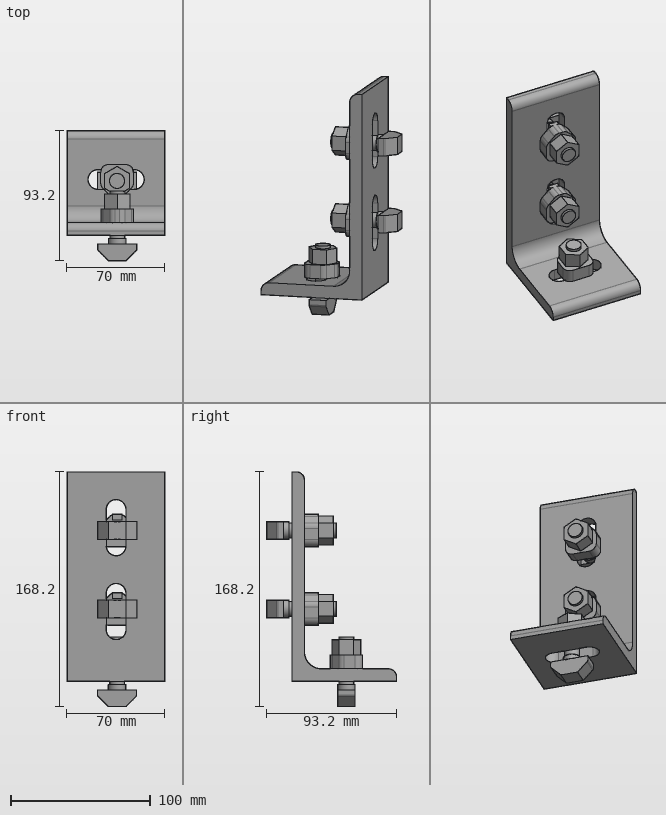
import cadquery as cq
import math


bracket_width = 70.0
tall_leg = 150.0
short_leg = 75.0
leg_thickness = 9.0
inner_corner_radius = 12.0
toe_radius = 6.0

slot_length = 40.0
slot_width = 14.0
wall_slot_heights = [50.0, 110.0]
base_slot_y = 40.0

wall_bolt_x = 0.8
wall_bolt_heights = [51.8, 108.0]
base_bolt_x = 0.7
base_bolt_y = 39.0

shank_diameter = 10.8
collar_diameter = 12.6
collar_start = 2.2
head_start = 6.0
head_end = 18.2
head_length = 28.0
head_width = 12.6
head_tip_length = 12.6
head_chamfer = (head_length - head_tip_length) / 2
head_edge_radius = 1.5

plate_side = 23.4
plate_thickness = 10.0
plate_chamfer = 7.9
plate_corner_radius = 5.4
tab_width = 7.0
tab_height = 4.2
tab_depth = 3.0
nut_across_flats = 18.0
nut_thickness = 10.8
shank_protrusion = 2.0


def make_angle():
    """L-section with a rounded inner corner and rounded toes, running along X."""
    profile = (
        cq.Workplane("YZ")
        .lineTo(short_leg, 0)
        .lineTo(short_leg, leg_thickness - toe_radius)
        .radiusArc((short_leg - toe_radius, leg_thickness), -toe_radius)
        .lineTo(leg_thickness + inner_corner_radius, leg_thickness)
        .radiusArc((leg_thickness, leg_thickness + inner_corner_radius), inner_corner_radius)
        .lineTo(leg_thickness, tall_leg - toe_radius)
        .radiusArc((leg_thickness - toe_radius, tall_leg), -toe_radius)
        .lineTo(0, tall_leg)
        .close()
    )
    return profile.extrude(bracket_width / 2, both=True)


def make_wall_slots():
    """Upright slot cutters through the tall leg."""
    centres = [(0, height) for height in wall_slot_heights]
    return (
        cq.Workplane("XZ")
        .pushPoints(centres)
        .slot2D(slot_length, slot_width, 90)
        .extrude(-leg_thickness)
    )


def make_base_slot():
    """Slot cutter through the short leg, lengthwise along X."""
    return (
        cq.Workplane("XY")
        .center(0, base_slot_y)
        .slot2D(slot_length, slot_width)
        .extrude(leg_thickness)
    )




def make_head():
    """Hammer head, long along X, tapering to a narrower tip."""
    half_length = head_length / 2
    half_tip = head_tip_length / 2
    taper_start = head_end - head_chamfer
    block = (
        cq.Workplane("XZ")
        .moveTo(-half_length, -head_start)
        .lineTo(half_length, -head_start)
        .lineTo(half_length, -taper_start)
        .lineTo(half_tip, -head_end)
        .lineTo(-half_tip, -head_end)
        .lineTo(-half_length, -taper_start)
        .close()
        .extrude(head_width / 2, both=True)
    )
    taper_edges = cq.selectors.BoxSelector(
        (-head_length, -head_width, -taper_start - head_edge_radius),
        (head_length, head_width, -taper_start + head_edge_radius),
    )
    return block.edges("|Y").edges(taper_edges).fillet(head_edge_radius)


def make_shank():
    """Round shank through leg, plate and nut, with a collar above the head."""
    shank_end = leg_thickness + plate_thickness + nut_thickness + shank_protrusion
    shank = (
        cq.Workplane("XY", origin=(0, 0, -head_start))
        .circle(shank_diameter / 2)
        .extrude(head_start + shank_end)
    )
    collar = (
        cq.Workplane("XY", origin=(0, 0, -head_start))
        .circle(collar_diameter / 2)
        .extrude(head_start - collar_start)
    )
    return shank.union(collar)


def make_clamping_plate():
    """Square plate with two chamfered corners on the -Y side and all its corners rounded."""
    return (
        cq.Workplane("XY", origin=(0, 0, leg_thickness))
        .rect(plate_side, plate_side)
        .extrude(plate_thickness)
        .edges("|Z and <Y")
        .chamfer(plate_chamfer)
        .edges("|Z")
        .fillet(plate_corner_radius)
    )


def make_tab():
    """Block under the plate's -Y edge that reaches into the leg."""
    return (
        cq.Workplane("XY", origin=(0, 0, leg_thickness))
        .center(0, (tab_height - plate_side) / 2)
        .rect(tab_width, tab_height)
        .extrude(-tab_depth)
    )


def make_nut():
    """Hexagon nut with corners on +Y and -Y."""
    across_corners = nut_across_flats / math.cos(math.pi / 6)
    return (
        cq.Workplane("XY", origin=(0, 0, leg_thickness + plate_thickness))
        .polygon(6, across_corners)
        .extrude(nut_thickness)
        .rotate((0, 0, 0), (0, 0, 1), 30)
    )


def make_bolt_unit():
    """Hammer-head bolt with its clamping plate and nut, as one solid."""
    clamp = make_clamping_plate().union(make_tab()).union(make_nut())
    return make_shank().union(make_head()).union(clamp)


def place_on_base(shape):
    """Move an upright shape onto the short leg."""
    return shape.translate((base_bolt_x, base_bolt_y, 0))


def place_on_wall(shape, height):
    """Lay an upright shape over so that its head points to -Y and its tab is on top."""
    laid_over = shape.rotate((0, 0, 0), (1, 0, 0), -90)
    return laid_over.translate((wall_bolt_x, 0, height))


base_tab_pocket = place_on_base(make_tab())
bracket = make_angle().cut(make_wall_slots()).cut(make_base_slot()).cut(base_tab_pocket)

bolt_units = [place_on_base(make_bolt_unit())]
for bolt_height in wall_bolt_heights:
    bolt_units.append(place_on_wall(make_bolt_unit(), bolt_height))

result = cq.Compound.makeCompound([bracket.val(), *[unit.val() for unit in bolt_units]])